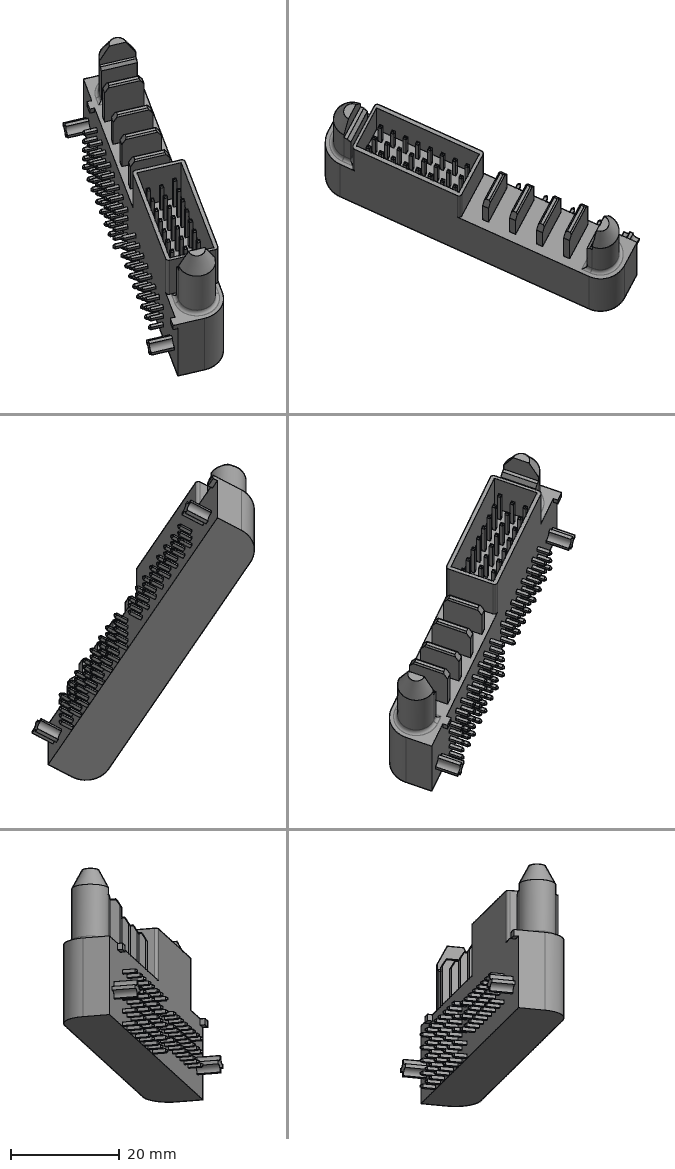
import cadquery as cq

LENGTH = 60.75
DEPTH = 10.0
BODY_HEIGHT = 15.0
POST_CENTRE_Y = 5.1
CORNER_RADIUS = DEPTH - POST_CENTRE_Y
SHROUD_TOP = 24.9

SHROUD_CENTRE_X = 12.0
SHROUD_LENGTH = 22.25
SHROUD_CORNER_RADIUS = 0.6
CAVITY_LENGTH = 21.0
CAVITY_WIDTH = 8.45

UP = cq.Vector(0, 0, 1)
FORWARD = cq.Vector(0, -1, 0)

PIN_WIDTH = 0.65
PIN_TIP_WIDTH = 0.25
PIN_TIP_LENGTH = 0.35
TAIL_LENGTH = 2.8
PIN_ROOT = 0.6

SIGNAL_COLUMNS = 8
SIGNAL_SPAN = 17.75
SIGNAL_PITCH = SIGNAL_SPAN / (SIGNAL_COLUMNS - 1)
SIGNAL_CENTRE_X = 12.05
SIGNAL_CENTRE_Y = 5.0
SIGNAL_TAIL_CENTRE_Z = 6.45
SIGNAL_TOPS = (21.75, 21.75, 22.8)

BLADE_THICKNESS = 1.2
BLADE_WIDTH = 7.6
BLADE_CENTRE_Y = 4.6
BLADE_FIRST_X = -20.1
BLADE_PITCH = 5.5
BLADE_TOPS = (SHROUD_TOP, 22.9, 22.9, 22.9)
BLADE_CORNER_WIDTH = 0.9
BLADE_CORNER_HEIGHT = 1.5
BLADE_EDGE_CHAMFER = 0.3

POWER_TAIL_OFFSET = 1.5
POWER_ROWS = 5
POWER_ROW_PITCH = 2.5
POWER_LOWEST_Z = 0.5

POST_RADIUS = 3.45
POST_TIP_RADIUS = 1.6
POST_CONE_Z = 25.65
POST_TOP = 29.2
POST_FILLET = 0.7
RIB_TOP = 24.35
POST_X = 25.4
LEFT_RIB_THICKNESS = 1.05
LEFT_RIB_CHAMFER = 0.55
RIGHT_RIB_THICKNESS = 1.4
RIGHT_RIB_CHAMFER = 0.7

TAB_WIDTH = 1.8
TAB_HEIGHT = 1.2
TAB_DEPTH = 0.9
LEFT_TAB_X = -24.1

PEG_LENGTH = 4.45
PEG_REACH = 1.6
PEG_ARM_HALF_WIDTH = 0.3
PEG_GROOVE_RADIUS = 1.0
PEG_Z = 5.45
PEG_XS = (-27.1, 26.7)


def make_body():
    block = cq.Workplane("XY").box(LENGTH, DEPTH, BODY_HEIGHT, centered=(True, False, False))
    return block.edges("|Z and >Y").fillet(CORNER_RADIUS)


def make_shroud():
    height = SHROUD_TOP - BODY_HEIGHT
    base = cq.Workplane("XY", origin=(SHROUD_CENTRE_X, DEPTH / 2, BODY_HEIGHT))
    outer = base.rect(SHROUD_LENGTH, DEPTH).extrude(height)
    outer = outer.edges("|Z").fillet(SHROUD_CORNER_RADIUS)
    cavity_base = base.center(SIGNAL_CENTRE_X - SHROUD_CENTRE_X, 0)
    cavity = cavity_base.rect(CAVITY_LENGTH, CAVITY_WIDTH).extrude(height)
    return outer.cut(cavity)


def make_pin(root, direction, length):
    """Square pin with a pyramid tip; length is what stands clear of the block."""
    x_axis = cq.Vector(1, 0, 0)
    start = cq.Vector(*root) - direction * PIN_ROOT
    shaft_length = PIN_ROOT + length - PIN_TIP_LENGTH
    root_plane = cq.Plane(start, x_axis, direction)
    shaft = cq.Workplane(root_plane).rect(PIN_WIDTH, PIN_WIDTH).extrude(shaft_length)
    tip = (
        cq.Workplane(cq.Plane(start + direction * shaft_length, x_axis, direction))
        .rect(PIN_WIDTH, PIN_WIDTH)
        .workplane(offset=PIN_TIP_LENGTH)
        .rect(PIN_TIP_WIDTH, PIN_TIP_WIDTH)
        .loft()
    )
    return shaft.union(tip)


def make_blade(x, top):
    """Flat blade with sloped upper corners and a bevelled top edge."""
    half = BLADE_WIDTH / 2
    blade = (
        cq.Workplane("YZ", origin=(x - BLADE_THICKNESS / 2, BLADE_CENTRE_Y, 0))
        .moveTo(-half, BODY_HEIGHT - PIN_ROOT)
        .lineTo(half, BODY_HEIGHT - PIN_ROOT)
        .lineTo(half, top - BLADE_CORNER_HEIGHT)
        .lineTo(half - BLADE_CORNER_WIDTH, top)
        .lineTo(-half + BLADE_CORNER_WIDTH, top)
        .lineTo(-half, top - BLADE_CORNER_HEIGHT)
        .close()
        .extrude(BLADE_THICKNESS)
    )
    return blade.faces(">Z").edges("|Y").chamfer(BLADE_EDGE_CHAMFER)


def extrude_flared(plane, low, high, length):
    """Bar from low to high across, whose sides flare out in fillets onto the block."""
    return (
        cq.Workplane(plane)
        .moveTo(low - POST_FILLET, 0)
        .lineTo(high + POST_FILLET, 0)
        .lineTo(high + POST_FILLET, BODY_HEIGHT)
        .radiusArc((high, BODY_HEIGHT + POST_FILLET), POST_FILLET)
        .lineTo(high, RIB_TOP)
        .lineTo(low, RIB_TOP)
        .lineTo(low, BODY_HEIGHT + POST_FILLET)
        .radiusArc((low - POST_FILLET, BODY_HEIGHT), POST_FILLET)
        .close()
        .extrude(length, both=True)
    )


def make_rib(thickness, chamfer):
    """Rib on the +X side of a post axis, with a mitred flare at its foot."""
    reach = 2 * POST_RADIUS
    rib = extrude_flared("XZ", -reach, thickness, reach)
    rib = rib.intersect(extrude_flared("YZ", -POST_RADIUS, POST_RADIUS, reach))
    bevel = (
        cq.Workplane("XZ")
        .moveTo(thickness - chamfer, RIB_TOP)
        .lineTo(thickness, RIB_TOP)
        .lineTo(thickness, RIB_TOP - chamfer)
        .close()
        .extrude(reach, both=True)
    )
    return rib.cut(bevel)


def make_post(x, mirrored, rib_thickness, rib_chamfer):
    """Half-round guide post with a conical tip and a rib on its flat side."""
    round_post = (
        cq.Workplane("XZ")
        .lineTo(POST_RADIUS + POST_FILLET, 0)
        .lineTo(POST_RADIUS + POST_FILLET, BODY_HEIGHT)
        .radiusArc((POST_RADIUS, BODY_HEIGHT + POST_FILLET), POST_FILLET)
        .lineTo(POST_RADIUS, POST_CONE_Z)
        .lineTo(POST_TIP_RADIUS, POST_TOP)
        .lineTo(0, POST_TOP)
        .close()
        .revolve(360, (0, 0), (0, 1))
    )
    flat_side = cq.Workplane("XY").box(LENGTH, LENGTH, POST_TOP, centered=(False, True, False))
    half_post = round_post.cut(flat_side)
    rib = make_rib(rib_thickness, rib_chamfer).intersect(flat_side)
    post = half_post.union(rib)
    if mirrored:
        post = post.mirror("YZ")
    return post.translate((x, POST_CENTRE_Y, 0))


def make_tab(x):
    return cq.Workplane("XY").box(TAB_WIDTH, TAB_DEPTH, TAB_HEIGHT).translate(
        (x, -TAB_DEPTH / 2, BODY_HEIGHT - TAB_HEIGHT / 2)
    )


def make_peg(x):
    """Square bar whose four corners are scooped out, leaving a cross."""
    base = cq.Workplane("XZ", origin=(x, 0, PEG_Z))
    square = base.rect(2 * PEG_REACH, 2 * PEG_REACH).extrude(PEG_LENGTH)
    centre = PEG_ARM_HALF_WIDTH + PEG_GROOVE_RADIUS
    corners = [(i * centre, j * centre) for i in (-1, 1) for j in (-1, 1)]
    scoops = base.pushPoints(corners).circle(PEG_GROOVE_RADIUS).extrude(PEG_LENGTH)
    return square.cut(scoops)


def make_signal_contacts():
    """Upright pin in the shroud and matching board tail for every contact."""
    pins = []
    for column in range(SIGNAL_COLUMNS):
        x = SIGNAL_CENTRE_X - SIGNAL_SPAN / 2 + column * SIGNAL_PITCH
        for row, top in enumerate(SIGNAL_TOPS):
            offset = (row - (len(SIGNAL_TOPS) - 1) / 2) * SIGNAL_PITCH
            pins.append(make_pin((x, SIGNAL_CENTRE_Y + offset, BODY_HEIGHT), UP, top - BODY_HEIGHT))
            pins.append(make_pin((x, 0, SIGNAL_TAIL_CENTRE_Z + offset), FORWARD, TAIL_LENGTH))
    return pins


def make_power_contacts():
    """Each blade has two columns of board tails, one to either side of it."""
    contacts = []
    for index, top in enumerate(BLADE_TOPS):
        x = BLADE_FIRST_X + index * BLADE_PITCH
        contacts.append(make_blade(x, top))
        for side in (-1, 1):
            for row in range(POWER_ROWS):
                root = (x + side * POWER_TAIL_OFFSET, 0, POWER_LOWEST_Z + row * POWER_ROW_PITCH)
                contacts.append(make_pin(root, FORWARD, TAIL_LENGTH))
    return contacts


parts = [
    make_shroud(),
    make_post(-POST_X, False, LEFT_RIB_THICKNESS, LEFT_RIB_CHAMFER),
    make_post(POST_X, True, RIGHT_RIB_THICKNESS, RIGHT_RIB_CHAMFER),
    make_tab(LEFT_TAB_X),
    make_tab((LENGTH - TAB_WIDTH) / 2),
]
parts += [make_peg(x) for x in PEG_XS]
parts += make_signal_contacts()
parts += make_power_contacts()

result = make_body()
for part in parts:
    result = result.union(part)